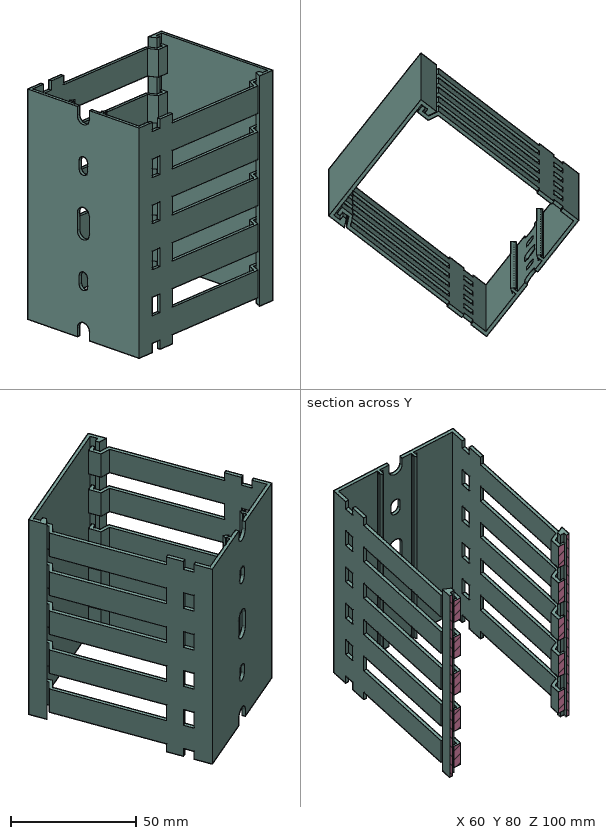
import cadquery as cq
import math

WIDTH = 60.0
DEPTH = 80.0
LENGTH = 100.0
WALL = 1.5
HALF_WIDTH = WIDTH / 2
INNER_HALF_WIDTH = HALF_WIDTH - WALL

SHOULDER_ANGLE = math.radians(26)
SHOULDER_SLOPE = math.tan(SHOULDER_ANGLE)
SHOULDER_DROP = WALL / math.cos(SHOULDER_ANGLE)

SHOULDER_START_Y = 71.0
HOOK_REAR_Y = 77.5
HOOK_INNER_X = 24.5
HOOK_OUTER_X = HOOK_INNER_X + WALL
HOOK_END_X = 27.8

COVER_FLANGE_END_Y = DEPTH - 8.0
LIP_REAR_Y = 75.4
LIP_TIP_X = 26.6

FINGER_PITCH = 20.0
FINGER_WIDTH = 12.0
OPENING_HEIGHT = FINGER_PITCH - FINGER_WIDTH
OPENING_COUNT = round(LENGTH / FINGER_PITCH) + 1
WINDOW_START_Y = 8.0
WINDOW_END_Y = 12.6
FINGER_ROOT_Y = 20.0

LARGE_SLOT_WIDTH = 6.5
LARGE_SLOT_LENGTH = 14.0
SMALL_SLOT_WIDTH = 4.5
SMALL_SLOT_LENGTH = 8.0

RIB_X = 8.5
RIB_STEM_HALF_WIDTH = 0.6
RIB_BARB_HALF_WIDTH = 1.3
RIB_TIP_Y = 4.6
RIB_BARB_BOTTOM_Y = 2.5
RIB_BARB_TOP_Y = 2.8
RIB_UNDERCUT_Y = 3.2


def extrude_symmetric_outline(right_half):
    """Mirror a half outline about the YZ plane and extrude it along the full length."""
    left_half = [(-x, y) for x, y in reversed(right_half)]
    return cq.Workplane("XY").polyline(right_half + left_half).close().extrude(LENGTH)


def make_channel():
    def outer_shoulder_y(x):
        return SHOULDER_START_Y + (HALF_WIDTH - x) * SHOULDER_SLOPE

    def inner_shoulder_y(x):
        return outer_shoulder_y(x) - SHOULDER_DROP

    return extrude_symmetric_outline([
        (HALF_WIDTH, 0),
        (HALF_WIDTH, SHOULDER_START_Y),
        (HOOK_OUTER_X, outer_shoulder_y(HOOK_OUTER_X)),
        (HOOK_OUTER_X, HOOK_REAR_Y - WALL),
        (HOOK_END_X, HOOK_REAR_Y - WALL),
        (HOOK_END_X, HOOK_REAR_Y),
        (HOOK_INNER_X, HOOK_REAR_Y),
        (HOOK_INNER_X, inner_shoulder_y(HOOK_INNER_X)),
        (INNER_HALF_WIDTH, inner_shoulder_y(INNER_HALF_WIDTH)),
        (INNER_HALF_WIDTH, WALL),
    ])


def make_rib(center_x):
    right_half = [
        (RIB_STEM_HALF_WIDTH, WALL),
        (RIB_STEM_HALF_WIDTH, RIB_UNDERCUT_Y),
        (RIB_BARB_HALF_WIDTH, RIB_BARB_BOTTOM_Y),
        (RIB_BARB_HALF_WIDTH, RIB_BARB_TOP_Y),
    ]
    left_half = [(-x, y) for x, y in reversed(right_half)]
    outline = right_half + [(0, RIB_TIP_Y)] + left_half
    return cq.Workplane("XY").center(center_x, 0).polyline(outline).close().extrude(LENGTH)


def make_wall_opening(start_y, end_y, center_z):
    """Box that cuts one opening through both side walls."""
    return (
        cq.Workplane("XY")
        .box(WIDTH, end_y - start_y, OPENING_HEIGHT)
        .translate((0, (start_y + end_y) / 2, center_z))
    )


def make_floor_slot(length, width, center_z):
    """Round-ended cutter through the floor, long in Z."""
    return (
        cq.Workplane("XZ")
        .center(0, center_z)
        .slot2D(length, width, 90)
        .extrude(-WALL)
    )


def make_duct():
    duct = make_channel()

    for index in range(OPENING_COUNT):
        center_z = index * FINGER_PITCH
        duct = duct.cut(make_wall_opening(WINDOW_START_Y, WINDOW_END_Y, center_z))
        duct = duct.cut(make_wall_opening(FINGER_ROOT_Y, DEPTH, center_z))

    for rib_x in (-RIB_X, RIB_X):
        duct = duct.union(make_rib(rib_x))

    for center_z in (0, LENGTH / 2, LENGTH):
        large_slot = make_floor_slot(LARGE_SLOT_LENGTH, LARGE_SLOT_WIDTH, center_z)
        duct = duct.cut(large_slot)
    for center_z in (LENGTH / 4, LENGTH * 3 / 4):
        small_slot = make_floor_slot(SMALL_SLOT_LENGTH, SMALL_SLOT_WIDTH, center_z)
        duct = duct.cut(small_slot)
    return duct


def make_cover():
    lip_tip_y = COVER_FLANGE_END_Y + (HALF_WIDTH - LIP_TIP_X) * SHOULDER_SLOPE
    return extrude_symmetric_outline([
        (INNER_HALF_WIDTH, DEPTH - WALL),
        (INNER_HALF_WIDTH, LIP_REAR_Y),
        (LIP_TIP_X, LIP_REAR_Y),
        (LIP_TIP_X, lip_tip_y),
        (HALF_WIDTH, COVER_FLANGE_END_Y),
        (HALF_WIDTH, DEPTH),
    ])


duct = make_duct()
cover = make_cover()

result = cq.Compound.makeCompound([duct.val(), cover.val()])